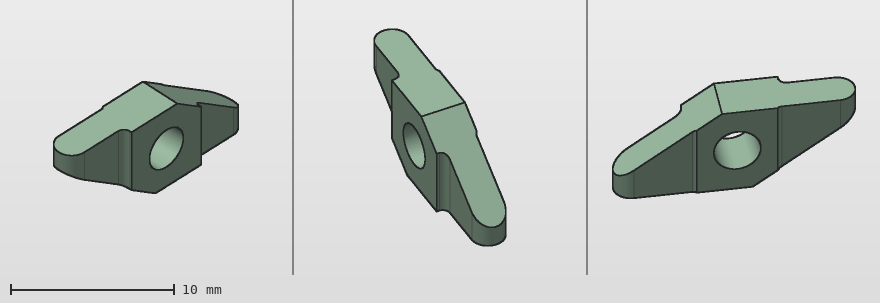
import math

import cadquery as cq

width = 3.0
length = 15.0
height = 6.0

tongue_width = 2.22
tongue_offset = 0.12
body_length = 6.0
pad_length = 5.01
shoulder_radius = 0.5
pad_radius = 0.35

slope_angle = 35.0
ridge_y = 0.95

hole_diameter = 2.91

half_length = length / 2
left_x = -width / 2
right_x = width / 2
tongue_left = left_x + tongue_offset
tongue_right = tongue_left + tongue_width
tongue_radius = tongue_width / 2
tongue_middle = tongue_left + tongue_radius
tongue_end = half_length - tongue_radius

shoulder_y = body_length / 2
shoulder_arc_x = tongue_right + shoulder_radius

pad_y = pad_length / 2
pad_run = math.sqrt(pad_radius**2 - (pad_radius - tongue_offset) ** 2)


def make_half_plan():
    """Plan of the +Y half, extruded over the full height."""
    return (
        cq.Workplane("XY")
        .workplane(offset=-height / 2)
        .moveTo(left_x, 0)
        .lineTo(right_x, 0)
        .lineTo(right_x, shoulder_y)
        .lineTo(shoulder_arc_x, shoulder_y)
        .radiusArc((tongue_right, shoulder_y + shoulder_radius), shoulder_radius)
        .lineTo(tongue_right, tongue_end)
        .threePointArc((tongue_middle, half_length), (tongue_left, tongue_end))
        .lineTo(tongue_left, pad_y + pad_run)
        .radiusArc((left_x, pad_y), pad_radius)
        .close()
        .extrude(height)
    )


def make_side_profile():
    """Six-sided YZ outline with parallel slopes, extruded across the width."""
    slope_drop = (half_length - ridge_y) * math.tan(math.radians(slope_angle))
    tip_z = height / 2 - slope_drop
    outline = [
        (-half_length, height / 2),
        (ridge_y, height / 2),
        (half_length, tip_z),
        (half_length, -height / 2),
        (-ridge_y, -height / 2),
        (-half_length, -tip_z),
    ]
    return cq.Workplane("YZ").polyline(outline).close().extrude(width / 2, both=True)


def make_hole():
    """Round hole through the body along X."""
    return cq.Workplane("YZ", origin=(left_x, 0, 0)).circle(hole_diameter / 2).extrude(width)


half_plan = make_half_plan()
full_plan = half_plan.union(half_plan.mirror("XZ"))
result = full_plan.intersect(make_side_profile()).cut(make_hole())